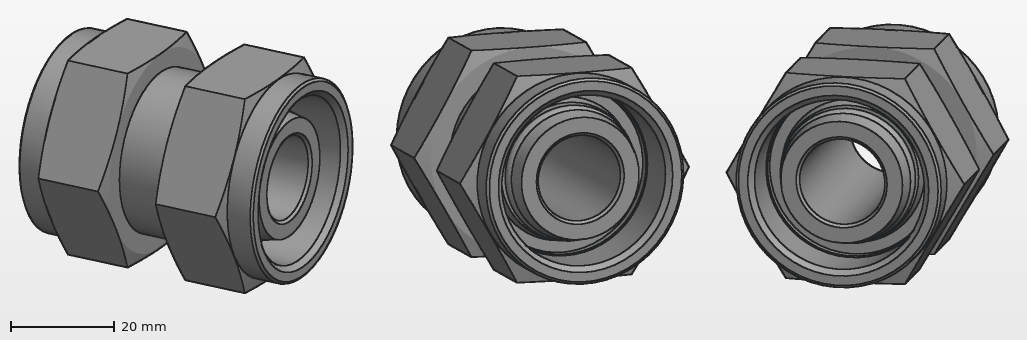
import cadquery as cq
import math

HALF_LENGTH = 26.0
HEX_SIDES = 6
HEX_FLATS = 41.0
HEX_OUTER_END = 20.5
HEX_INNER_END = 5.55
HEX_CHAMFER_ANGLE = 15.0

COLLAR_RADIUS = 20.4
COLLAR_CHAMFER_RADIAL = 0.5
COLLAR_CHAMFER_AXIAL = 0.4

NUT_BORE_RADIUS = 16.9
NUT_MOUTH_CHAMFER = 1.1
NUT_MOUTH_DEPTH = 11.35

BODY_RADIUS = 16.6
BODY_END_DEPTH = 13.2
BODY_BORE_RADIUS = 8.5
BODY_BORE_CHAMFER = 0.55

SPIGOT_TIP_DEPTH = 3.0
SPIGOT_TIP_RADIUS = 12.1
SPIGOT_BASE_RADIUS = 14.25

GROOVE_OUTER_DEPTH = 6.7
GROOVE_INNER_DEPTH = 10.4
BEAD_TOP_RADIUS = 13.4
BEAD_SECTION_RADIUS = 1.5

END_ANGLES = (0, 180)

HEX_APOTHEM = HEX_FLATS / 2
HEX_CORNER_RADIUS = HEX_APOTHEM / math.cos(math.pi / HEX_SIDES)
HEX_CHAMFER_AXIAL = (HEX_CORNER_RADIUS - HEX_APOTHEM) * math.tan(math.radians(HEX_CHAMFER_ANGLE))
SPIGOT_TIP = HALF_LENGTH - SPIGOT_TIP_DEPTH
BODY_END = HALF_LENGTH - BODY_END_DEPTH
GROOVE_OUTER = HALF_LENGTH - GROOVE_OUTER_DEPTH
GROOVE_INNER = HALF_LENGTH - GROOVE_INNER_DEPTH
GROOVE_FLOOR_RADIUS = BEAD_TOP_RADIUS - BEAD_SECTION_RADIUS


def revolve_about_x(profile):
    """Close a profile of (x, radius) points and turn it around the X axis."""
    return profile.close().revolve(360, (0, 0, 0), (1, 0, 0))


def cone_radius(x):
    """Radius of the tapered spigot at position x."""
    taper = (SPIGOT_BASE_RADIUS - SPIGOT_TIP_RADIUS) / (SPIGOT_TIP - BODY_END)
    return SPIGOT_TIP_RADIUS + taper * (SPIGOT_TIP - x)


def make_hexagon():
    """Hexagon of a nut, its corners chamfered conically at both ends."""
    prism = (
        cq.Workplane("YZ", origin=(HEX_INNER_END, 0, 0))
        .polygon(HEX_SIDES, 2 * HEX_CORNER_RADIUS)
        .extrude(HEX_OUTER_END - HEX_INNER_END)
    )
    envelope = revolve_about_x(
        cq.Workplane("XY").polyline([
            (HEX_INNER_END, 0),
            (HEX_INNER_END, HEX_APOTHEM),
            (HEX_INNER_END + HEX_CHAMFER_AXIAL, HEX_CORNER_RADIUS),
            (HEX_OUTER_END - HEX_CHAMFER_AXIAL, HEX_CORNER_RADIUS),
            (HEX_OUTER_END, HEX_APOTHEM),
            (HEX_OUTER_END, 0),
        ])
    )
    return prism.intersect(envelope)


def make_collar():
    """Round collar on the outer end of a nut, with a chamfered rim."""
    return revolve_about_x(
        cq.Workplane("XY").polyline([
            (HEX_OUTER_END, 0),
            (HEX_OUTER_END, COLLAR_RADIUS),
            (HALF_LENGTH - COLLAR_CHAMFER_AXIAL, COLLAR_RADIUS),
            (HALF_LENGTH, COLLAR_RADIUS - COLLAR_CHAMFER_RADIAL),
            (HALF_LENGTH, 0),
        ])
    )


def make_nut_bore():
    """Stepped bore of a nut: body fit, wide mouth and mouth chamfer."""
    step = HALF_LENGTH - NUT_MOUTH_DEPTH
    return revolve_about_x(
        cq.Workplane("XY").polyline([
            (HEX_INNER_END, 0),
            (HEX_INNER_END, BODY_RADIUS),
            (step, BODY_RADIUS),
            (step, NUT_BORE_RADIUS),
            (HALF_LENGTH - NUT_MOUTH_CHAMFER, NUT_BORE_RADIUS),
            (HALF_LENGTH, NUT_BORE_RADIUS + NUT_MOUTH_CHAMFER),
            (HALF_LENGTH, 0),
        ])
    )


def make_nut():
    """Union nut on the +X end of the fitting."""
    return make_hexagon().union(make_collar()).cut(make_nut_bore())


def turned_about_z(shape, angle):
    """Copy of a shape turned about Z; half a turn moves it from the +X end to the -X end."""
    return shape.rotate((0, 0, 0), (0, 0, 1), angle)


def make_spigot():
    """Solid tapered spigot on the +X end of the body, with a round sealing bead in its groove."""
    bead_middle = (GROOVE_OUTER + GROOVE_INNER) / 2
    return revolve_about_x(
        cq.Workplane("XY")
        .moveTo(BODY_END, 0)
        .lineTo(BODY_END, SPIGOT_BASE_RADIUS)
        .lineTo(GROOVE_INNER, cone_radius(GROOVE_INNER))
        .lineTo(GROOVE_INNER, GROOVE_FLOOR_RADIUS)
        .lineTo(bead_middle - BEAD_SECTION_RADIUS, GROOVE_FLOOR_RADIUS)
        .threePointArc(
            (bead_middle, BEAD_TOP_RADIUS),
            (bead_middle + BEAD_SECTION_RADIUS, GROOVE_FLOOR_RADIUS),
        )
        .lineTo(GROOVE_OUTER, GROOVE_FLOOR_RADIUS)
        .lineTo(GROOVE_OUTER, cone_radius(GROOVE_OUTER))
        .lineTo(SPIGOT_TIP, SPIGOT_TIP_RADIUS)
        .lineTo(SPIGOT_TIP, 0)
    )


def make_body_bore():
    """Through bore of the body, chamfered at both spigot tips."""
    chamfer_start = SPIGOT_TIP - BODY_BORE_CHAMFER
    mouth_radius = BODY_BORE_RADIUS + BODY_BORE_CHAMFER
    return revolve_about_x(
        cq.Workplane("XY").polyline([
            (-SPIGOT_TIP, 0),
            (-SPIGOT_TIP, mouth_radius),
            (-chamfer_start, BODY_BORE_RADIUS),
            (chamfer_start, BODY_BORE_RADIUS),
            (SPIGOT_TIP, mouth_radius),
            (SPIGOT_TIP, 0),
        ])
    )


def make_body():
    """Tubular body: a barrel with a spigot at each end and a bore through all three."""
    solid = cq.Workplane("YZ", origin=(-BODY_END, 0, 0)).circle(BODY_RADIUS).extrude(2 * BODY_END)
    for angle in END_ANGLES:
        solid = solid.union(turned_about_z(make_spigot(), angle))
    return solid.cut(make_body_bore())


body = make_body()

nuts = []
for end_angle in END_ANGLES:
    nut = turned_about_z(make_nut(), end_angle)
    nuts.append(nut.val())

result = cq.Compound.makeCompound([body.val(), *nuts])